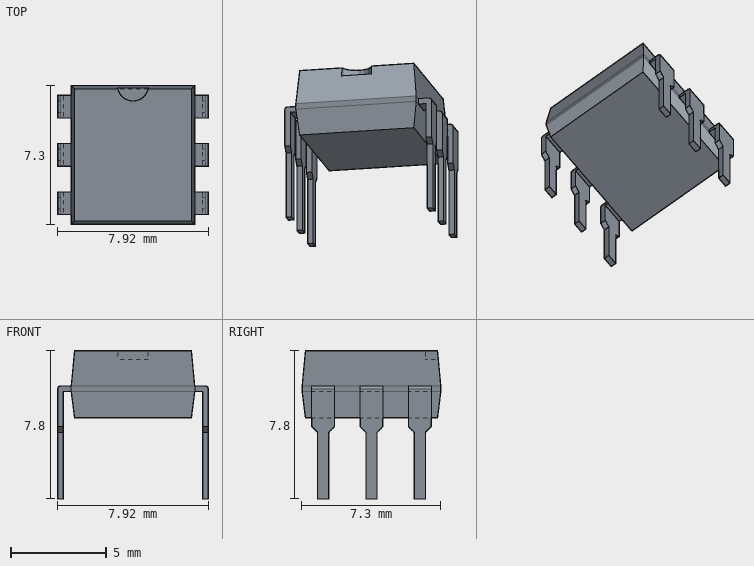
import cadquery as cq

overall_span = 7.92
overall_height = 7.8

housing_width = 6.5
housing_length = 7.3
housing_height = 3.53
upper_height = 1.85
draft_inset = 0.175
notch_radius = 0.815
notch_depth = 0.45

lead_thickness = 0.3
lead_pitch = 2.54
leads_per_side = 3
shoulder_width = 1.2
pin_width = 0.6
shoulder_end_drop = 2.14
bend_radius = 0.15

belt_top = overall_height - upper_height
belt_bottom = belt_top - lead_thickness
lower_height = housing_height - upper_height - lead_thickness
lead_reach = (overall_span - housing_width) / 2
shoulder_end = belt_top - shoulder_end_drop
pin_start = shoulder_end - (shoulder_width - pin_width) / 2


def tapered_half(start_z, height):
    """Housing half that narrows from the belt; a negative height points it down."""
    return (
        cq.Workplane("XY", origin=(0, 0, start_z))
        .rect(housing_width, housing_length)
        .workplane(offset=height)
        .rect(housing_width - 2 * draft_inset, housing_length - 2 * draft_inset)
        .loft(ruled=True)
    )


def make_housing():
    """Moulded body with a straight belt, drafted halves and an end notch."""
    belt = cq.Workplane("XY", origin=(0, 0, belt_bottom)).rect(housing_width, housing_length)
    body = belt.extrude(lead_thickness)
    body = body.union(tapered_half(belt_top, upper_height))
    body = body.union(tapered_half(belt_bottom, -lower_height))
    notch = (
        cq.Workplane("XY", origin=(0, housing_length / 2, overall_height - notch_depth))
        .circle(notch_radius)
        .extrude(notch_depth)
    )
    return body.cut(notch)


def make_lead(side, center_y):
    """Bent lead that butts against the belt; side is -1 or +1 along X."""
    root_x = side * housing_width / 2
    outer_x = side * overall_span / 2
    inner_x = outer_x - side * lead_thickness

    strip = (
        cq.Workplane("XZ", origin=(0, center_y, 0))
        .moveTo(root_x, belt_top)
        .lineTo(outer_x, belt_top)
        .lineTo(outer_x, 0)
        .lineTo(inner_x, 0)
        .lineTo(inner_x, belt_bottom)
        .lineTo(root_x, belt_bottom)
        .close()
        .extrude(shoulder_width / 2, both=True)
    )
    outer_bend = cq.selectors.NearestToPointSelector((outer_x, center_y, belt_top))
    strip = strip.edges("|Y").edges(outer_bend).fillet(bend_radius)

    half_shoulder = shoulder_width / 2
    half_pin = pin_width / 2
    face_shape = (
        cq.Workplane("YZ", origin=(min(root_x, outer_x), center_y, 0))
        .moveTo(-half_shoulder, belt_top)
        .lineTo(half_shoulder, belt_top)
        .lineTo(half_shoulder, shoulder_end)
        .lineTo(half_pin, pin_start)
        .lineTo(half_pin, 0)
        .lineTo(-half_pin, 0)
        .lineTo(-half_pin, pin_start)
        .lineTo(-half_shoulder, shoulder_end)
        .close()
        .extrude(lead_reach)
    )
    return strip.intersect(face_shape)


housing = make_housing()

leads = []
for side in (-1, 1):
    for index in range(leads_per_side):
        center_y = (index - (leads_per_side - 1) / 2) * lead_pitch
        leads.append(make_lead(side, center_y))

lead_solids = [lead.solids().val() for lead in leads]
result = cq.Compound.makeCompound([housing.solids().val(), *lead_solids])